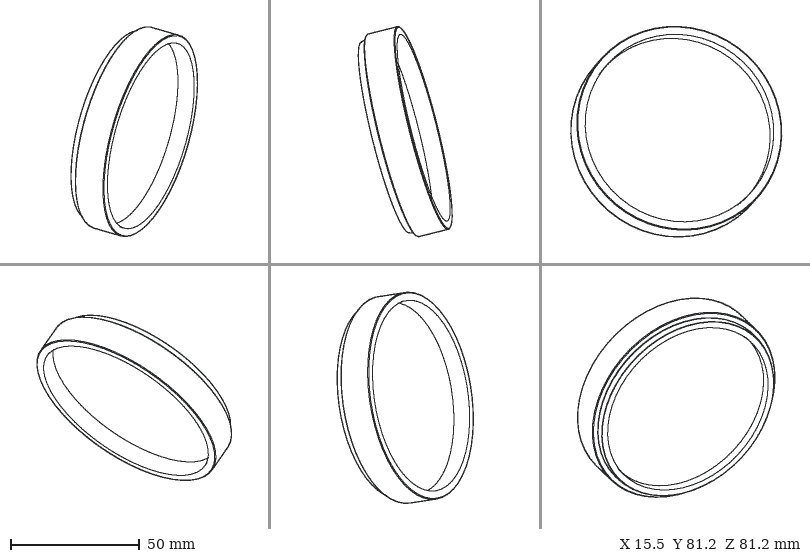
import cadquery as cq

total_length = 15.5
rim_radius = 40.6
rim_chamfer = 0.3

neck_length = 3.0
neck_radius = 38.5
lead_in_length = 1.0
lead_in_drop = 0.25
bevel_length = 0.1
bevel_drop = 0.2
relief_length = 0.3
relief_depth = 0.1

aperture_radius = 35.7
seat_radius = 37.4
optic_depth = 3.6
optic_thickness = 4.9


def revolved(outline):
    """Solid ring or disc from (x, radius) points turned about the X axis."""
    return cq.Workplane("XZ").polyline(outline).close().revolve(360, (0, 0, 0), (1, 0, 0))


def make_housing():
    lead_in_radius = neck_radius - lead_in_drop
    relief_start = neck_length - relief_length
    return revolved([
        (0, aperture_radius),
        (0, lead_in_radius - bevel_drop),
        (bevel_length, lead_in_radius),
        (lead_in_length, neck_radius),
        (relief_start, neck_radius),
        (relief_start, neck_radius - relief_depth),
        (neck_length, neck_radius - relief_depth),
        (neck_length, rim_radius - rim_chamfer),
        (neck_length + rim_chamfer, rim_radius),
        (total_length - rim_chamfer, rim_radius),
        (total_length, rim_radius - rim_chamfer),
        (total_length, seat_radius),
        (optic_depth, seat_radius),
        (optic_depth, aperture_radius),
    ])


def make_optic():
    optic_end = optic_depth + optic_thickness
    return revolved([
        (optic_depth, 0),
        (optic_depth, seat_radius),
        (optic_end, seat_radius),
        (optic_end, 0),
    ])


housing = make_housing()
optic = make_optic()

result = cq.Compound.makeCompound([housing.val(), optic.val()])